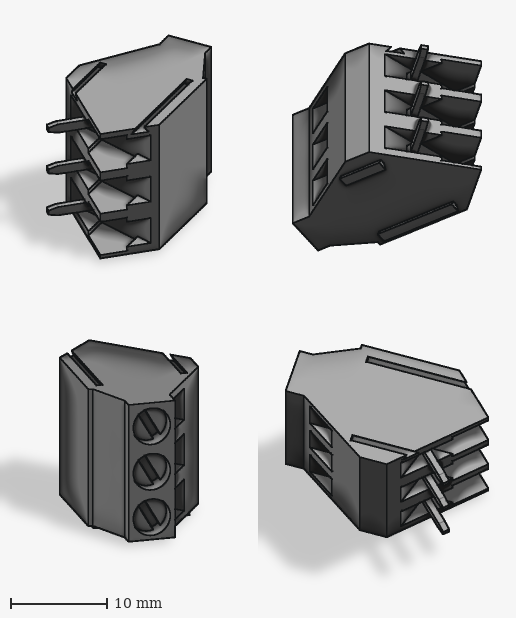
import cadquery as cq
import math

POLE_COUNT = 3
POLE_PITCH = 5.0
FIRST_POLE_Z = 2.47
POLE_HEIGHTS = [FIRST_POLE_Z + i * POLE_PITCH for i in range(POLE_COUNT)]

HOUSING_HEIGHT = 15.05
RIGHT_X = 6.9
RIGHT_SIDE_LENGTH = 6.4
LEFT_X = -10.2
TOP_Y = 16.3
SCREW_FACE_RUN = 3.56
LEFT_NECK_RUN = 1.41
TOP_NECK_RUN = 1.01
LEDGE_X = -0.6
LEDGE_STEP = 0.32
CHAMFER_X = -5.07
CHAMFER_RUN = 2.07

BORE_DIAMETER = 4.0
BORE_DEPTH = 1.5
SCREW_SLOT_WIDTH = 0.85
SCREW_SLOT_DEPTH = 0.85
SCREW_SLOT_ANGLE = 60

ENTRY_TOP_Y = 10.35
ENTRY_BOTTOM_Y = 6.69
ENTRY_HEIGHT = 3.42

RECESS_LEFT_X = -3.4
RECESS_SLOPE = math.tan(math.radians(28))
RECESS_HEIGHT = 3.0
RECESS_DROP = 0.04
SLOT_FRONT_X = 2.7
SLOT_DEEP_X = 5.21
SLOT_HEIGHT = 4.0

PIN_LENGTH = 3.6
PIN_WIDTH = 0.72
PIN_HEIGHT = 1.01
PIN_TAPER_LENGTH = 1.01
PIN_TIP_HEIGHT = 0.5
PIN_ROOT_Y = 2.59
FOOT_LEFT_X = -0.74

DOVETAILS = [(-6.8, 4.55, 4.84), (-0.94, 12.14, 9.03)]
DOVETAIL_DEPTH = 0.64
DOVETAIL_NECK_WIDTH = 0.65
DOVETAIL_WIDE_WIDTH = 1.3

OVERRUN = 19.9

SCREW_FACE_LOW = (LEFT_X, TOP_Y - SCREW_FACE_RUN)
SCREW_FACE_HIGH = (LEFT_X + SCREW_FACE_RUN, TOP_Y)
LEFT_SIDE_HIGH = (LEFT_X + LEFT_NECK_RUN, SCREW_FACE_LOW[1] - LEFT_NECK_RUN)
LEFT_SIDE_LOW = (CHAMFER_X - CHAMFER_RUN, CHAMFER_RUN)


def prism(points, height, middle_z):
    """Extrude a plan outline to the given height, centred on middle_z."""
    plan = cq.Workplane("XY").workplane(offset=middle_z - height / 2)
    return plan.polyline(points).close().extrude(height)


def diagonal_plane(x, y, z):
    """Upright plane that looks along (1, -1), with local X along (1, 1) and local Y up."""
    return cq.Plane(origin=(x, y, z), xDir=(1, 1, 0), normal=(1, -1, 0))


def left_side_x(y):
    """X of the slanted left side at the given Y."""
    fraction = (LEFT_SIDE_HIGH[1] - y) / (LEFT_SIDE_HIGH[1] - LEFT_SIDE_LOW[1])
    return LEFT_SIDE_HIGH[0] + fraction * (LEFT_SIDE_LOW[0] - LEFT_SIDE_HIGH[0])


def recess_floor_y(x):
    """Y of the sloping recess floor at the given X."""
    return (x - RECESS_LEFT_X) * RECESS_SLOPE


def make_housing():
    """Plain housing, with the 45 degree screw face on a neck at the upper left."""
    ledge_y = RIGHT_SIDE_LENGTH + RIGHT_X - LEDGE_X
    outline = [
        (CHAMFER_X, 0),
        (RIGHT_X, 0),
        (RIGHT_X, RIGHT_SIDE_LENGTH),
        (LEDGE_X, ledge_y),
        (LEDGE_X - LEDGE_STEP, ledge_y - LEDGE_STEP),
        (SCREW_FACE_HIGH[0] + TOP_NECK_RUN, TOP_Y - TOP_NECK_RUN),
        SCREW_FACE_HIGH,
        SCREW_FACE_LOW,
        LEFT_SIDE_HIGH,
        LEFT_SIDE_LOW,
    ]
    return prism(outline, HOUSING_HEIGHT, HOUSING_HEIGHT / 2)


def make_screw_bore(z):
    """Round bore that leaves a slotted screw head at its bottom."""
    center_x = (SCREW_FACE_LOW[0] + SCREW_FACE_HIGH[0]) / 2
    center_y = (SCREW_FACE_LOW[1] + SCREW_FACE_HIGH[1]) / 2
    face = cq.Workplane(diagonal_plane(center_x, center_y, z))
    bore = face.circle(BORE_DIAMETER / 2).extrude(BORE_DEPTH)
    full_depth = BORE_DEPTH + SCREW_SLOT_DEPTH
    slot = (
        face.transformed(rotate=(0, 0, SCREW_SLOT_ANGLE))
        .rect(BORE_DIAMETER, SCREW_SLOT_WIDTH)
        .extrude(full_depth)
        .intersect(face.circle(BORE_DIAMETER / 2).extrude(full_depth))
    )
    return bore.union(slot)


def make_wire_entry(z):
    """Wedge opening whose back wall runs at 45 degrees from the upper edge."""
    top_x = left_side_x(ENTRY_TOP_Y)
    bottom_x = left_side_x(ENTRY_BOTTOM_Y)
    back_x = top_x + ENTRY_TOP_Y - ENTRY_BOTTOM_Y
    outline = [(top_x, ENTRY_TOP_Y), (bottom_x, ENTRY_BOTTOM_Y), (back_x, ENTRY_BOTTOM_Y)]
    return prism(outline, ENTRY_HEIGHT, z)


def make_contact_recess(z):
    """Sloping recess open to the pin side and +X, crossed by a wider 45 degree slot."""
    recess = prism(
        [(RECESS_LEFT_X, 0), (RIGHT_X, 0), (RIGHT_X, recess_floor_y(RIGHT_X))],
        RECESS_HEIGHT,
        z,
    )
    slot_deep_y = recess_floor_y(SLOT_DEEP_X)
    slot_near_x = (SLOT_FRONT_X + RECESS_LEFT_X * RECESS_SLOPE) / (1 + RECESS_SLOPE)
    wide_slot = prism(
        [
            (SLOT_FRONT_X, 0),
            (RIGHT_X, 0),
            (RIGHT_X, slot_deep_y - (RIGHT_X - SLOT_DEEP_X)),
            (SLOT_DEEP_X, slot_deep_y),
            (slot_near_x, recess_floor_y(slot_near_x)),
        ],
        SLOT_HEIGHT,
        z,
    )
    return recess.union(wide_slot)


def make_pin(z):
    """Pin with a tapered tip, and the 45 degree foot beside its root."""
    half_width = PIN_WIDTH / 2
    half_height = PIN_HEIGHT / 2
    half_tip = PIN_TIP_HEIGHT / 2
    taper_y = PIN_TAPER_LENGTH - PIN_LENGTH
    pin = (
        cq.Workplane("YZ", origin=(-half_width, 0, z))
        .polyline([
            (PIN_ROOT_Y, -half_height),
            (taper_y, -half_height),
            (-PIN_LENGTH, -half_tip),
            (-PIN_LENGTH, half_tip),
            (taper_y, half_height),
            (PIN_ROOT_Y, half_height),
        ])
        .close()
        .extrude(PIN_WIDTH)
    )
    foot_left_y = recess_floor_y(FOOT_LEFT_X)
    foot = prism(
        [
            (FOOT_LEFT_X, foot_left_y),
            (-half_width, foot_left_y - (-half_width - FOOT_LEFT_X)),
            (-half_width, PIN_ROOT_Y),
            (FOOT_LEFT_X, PIN_ROOT_Y),
        ],
        PIN_HEIGHT,
        z,
    )
    return pin.union(foot)


def make_dovetail(x, y, surface_z, length):
    """Dovetail bar along (1, -1), widening downward from surface_z."""
    half_neck = DOVETAIL_NECK_WIDTH / 2
    half_wide = DOVETAIL_WIDE_WIDTH / 2
    profile = [
        (-half_neck, 0),
        (half_neck, 0),
        (half_wide, -DOVETAIL_DEPTH),
        (-half_wide, -DOVETAIL_DEPTH),
    ]
    return cq.Workplane(diagonal_plane(x, y, surface_z)).polyline(profile).close().extrude(length)


result = make_housing()

for pole_z in POLE_HEIGHTS:
    result = result.cut(make_screw_bore(pole_z))
    result = result.cut(make_wire_entry(pole_z))
    result = result.cut(make_contact_recess(pole_z - RECESS_DROP))
    result = result.union(make_pin(pole_z))

for start_x, start_y, rib_length in DOVETAILS:
    result = result.cut(make_dovetail(start_x, start_y, HOUSING_HEIGHT, OVERRUN))
    result = result.union(make_dovetail(start_x, start_y, 0, rib_length))